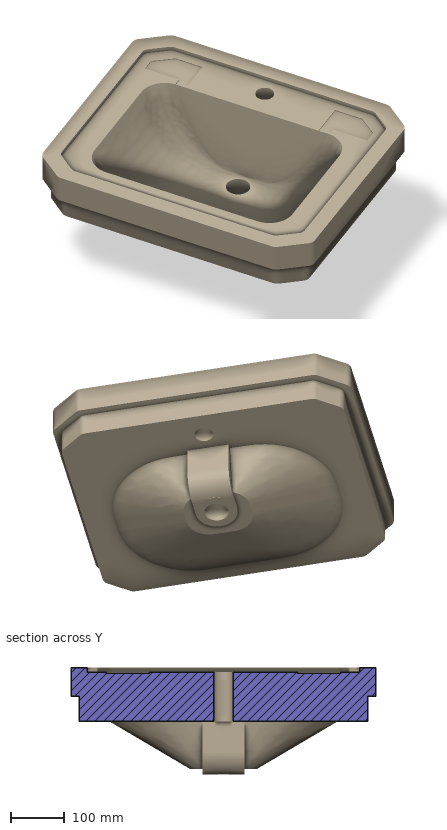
import cadquery as cq
import math

LENGTH = 570.0
WIDTH = 470.0
HEIGHT = 200.0
CORNER_CUT_X = 57.5
CORNER_CUT_Y = 44.5
CORNER_RADIUS = 16.0
RIM_HEIGHT = 55.0
SKIRT_INSET = 15.0
SKIRT_BOTTOM = -101.5

RIM_BAND = 30.0
DECK_Z = -9.0
DECK_CUT_X = 43.0
DECK_CUT_Y = 32.5

BOWL_HALF_X = 207.5
BOWL_BACK_Y = 118.0
BOWL_FRONT_Y = -171.5
BOWL_RADIUS = 48.5
BELLY_Z = -117.0
BELLY_HALF_X = 139.5
BELLY_BACK_Y = 100.0
BELLY_FRONT_Y = -102.5
BELLY_RADIUS = 40.0
FLOOR_Z = -154.0

DRAIN_Y = 60.0
DRAIN_SEAT_RADIUS = 32.5
DRAIN_HOLE_RADIUS = 23.0
DRAIN_BOSS_RADIUS = 39.5
CORNER_ARC = 16.0

SHELL_BOTTOM = -190.0
SHELL_TOP_HALF_X = 212.5
SHELL_TOP_BACK_Y = 122.5
SHELL_TOP_FRONT_Y = -191.0
SHELL_TOP_RADIUS = 139.0
SHELL_LOW_HALF_X = 62.5
SHELL_LOW_BACK_Y = 100.5
SHELL_LOW_FRONT_Y = -8.5
SHELL_LOW_RADIUS = 43.0

DUCT_BACK_Y = 133.0
DUCT_RADIUS = 40.0

TAP_Y = 169.5
TAP_RADIUS = 17.5
TRAY_DEPTH = 1.5
TRAY_INNER_X = 139.0
TRAY_OUTER_X = 233.0
TRAY_BACK_Y = 186.5
TRAY_FRONT_Y = 134.0
TRAY_CUT_X = 37.5
TRAY_CUT_Y = 28.0
TRAY_CHANNEL_WIDTH = 22.0


def octagon(length, width, corner_x, corner_y):
    """Rectangle with its four corners cut off."""
    x = length / 2
    y = width / 2
    cut_x = x - corner_x
    cut_y = y - corner_y
    points = [
        (cut_x, y), (x, cut_y), (x, -cut_y), (cut_x, -y),
        (-cut_x, -y), (-x, -cut_y), (-x, cut_y), (-cut_x, y),
    ]
    return cq.Workplane("XY").polyline(points).close()


def octagon_block(outline, top, bottom):
    """Outline extruded between two heights, with rounded vertical edges."""
    block = outline.extrude(top - bottom)
    return block.edges("|Z").fillet(CORNER_RADIUS).translate((0, 0, bottom))


def rounded_section(half_x, back_y, front_y, radius, z):
    """Wire of a round-cornered rectangle at height z."""
    sketch = cq.Sketch().rect(2 * half_x, back_y - front_y).vertices().fillet(radius)
    center_y = (back_y + front_y) / 2
    plane = cq.Workplane("XY", origin=(0, center_y, z))
    return plane.placeSketch(sketch).extrude(5.5).faces("<Z").wires().val()


def cylinder(radius, y, top, bottom):
    return cq.Workplane("XY", origin=(0, y, bottom)).circle(radius).extrude(top - bottom)


def drain_section():
    """Drain seat circle split into four long side arcs and four short corner arcs."""
    seams = []
    for diagonal in (45, 135, 225, 315):
        seams += [diagonal - CORNER_ARC / 2, diagonal + CORNER_ARC / 2]
    seams.append(seams[0] + 360)

    def seat_point(angle):
        turn = math.radians(angle)
        x = DRAIN_SEAT_RADIUS * math.cos(turn)
        y = DRAIN_Y + DRAIN_SEAT_RADIUS * math.sin(turn)
        return cq.Vector(x, y, FLOOR_Z)

    arcs = []
    for start, end in zip(seams, seams[1:]):
        middle = (start + end) / 2
        arcs.append(cq.Edge.makeThreePointArc(seat_point(start), seat_point(middle), seat_point(end)))
    return cq.Wire.assembleEdges(arcs)


def bowl_cavity():
    rim = rounded_section(BOWL_HALF_X, BOWL_BACK_Y, BOWL_FRONT_Y, BOWL_RADIUS, DECK_Z)
    belly = rounded_section(BELLY_HALF_X, BELLY_BACK_Y, BELLY_FRONT_Y, BELLY_RADIUS, BELLY_Z)
    return cq.Workplane(cq.Solid.makeLoft([rim, belly, drain_section()]))


def bowl_shell():
    top = rounded_section(
        SHELL_TOP_HALF_X, SHELL_TOP_BACK_Y, SHELL_TOP_FRONT_Y, SHELL_TOP_RADIUS, SKIRT_BOTTOM
    )
    low = rounded_section(
        SHELL_LOW_HALF_X, SHELL_LOW_BACK_Y, SHELL_LOW_FRONT_Y, SHELL_LOW_RADIUS, SHELL_BOTTOM
    )
    return cq.Workplane(cq.Solid.makeLoft([top, low], True))


def overflow_duct():
    duct = cq.Workplane("XY", origin=(0, 0, -HEIGHT)).box(
        2 * DRAIN_BOSS_RADIUS, DUCT_BACK_Y - DRAIN_Y, HEIGHT + SKIRT_BOTTOM,
        centered=(True, False, False),
    )
    return duct.edges(">Y and <Z").fillet(DUCT_RADIUS).translate((0, DRAIN_Y, 0))


def soap_tray():
    """Shallow tray on the +X side with a channel running into the bowl."""
    channel_x = TRAY_INNER_X + TRAY_CHANNEL_WIDTH
    points = [
        (TRAY_INNER_X, BOWL_BACK_Y),
        (TRAY_INNER_X, TRAY_BACK_Y),
        (TRAY_OUTER_X - TRAY_CUT_X, TRAY_BACK_Y),
        (TRAY_OUTER_X, TRAY_BACK_Y - TRAY_CUT_Y),
        (TRAY_OUTER_X, TRAY_FRONT_Y),
        (channel_x, TRAY_FRONT_Y),
        (channel_x, BOWL_BACK_Y),
    ]
    tray = cq.Workplane("XY").polyline(points).close().extrude(TRAY_DEPTH)
    return tray.translate((0, 0, DECK_Z - TRAY_DEPTH))


skirt_outline = octagon(LENGTH, WIDTH, CORNER_CUT_X, CORNER_CUT_Y).offset2D(-SKIRT_INSET)
deck_outline = octagon(LENGTH - 2 * RIM_BAND, WIDTH - 2 * RIM_BAND, DECK_CUT_X, DECK_CUT_Y)
rim_outline = octagon(LENGTH, WIDTH, CORNER_CUT_X, CORNER_CUT_Y)

body = octagon_block(rim_outline, 0, -RIM_HEIGHT)
body = body.union(octagon_block(skirt_outline, -RIM_HEIGHT, SKIRT_BOTTOM))
body = body.union(bowl_shell())
body = body.union(overflow_duct())
body = body.union(cylinder(DRAIN_BOSS_RADIUS, DRAIN_Y, FLOOR_Z, -HEIGHT))

deck_recess = octagon_block(deck_outline, 0, DECK_Z)
body = body.cut(deck_recess)
body = body.cut(bowl_cavity())
body = body.cut(cylinder(DRAIN_HOLE_RADIUS, DRAIN_Y, 0, -HEIGHT))
body = body.cut(cylinder(TAP_RADIUS, TAP_Y, 0, -HEIGHT))
tray = soap_tray()
body = body.cut(tray).cut(tray.mirror("YZ"))

result = body